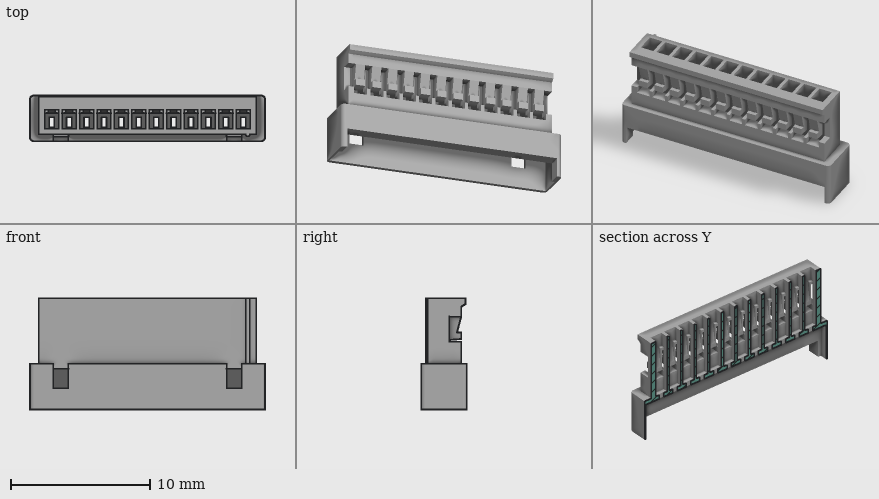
import cadquery as cq
SHROUD_LENGTH = 16.9
SHROUD_DEPTH = 3.3
SHROUD_HEIGHT = 3.3
SHROUD_CORNER_RADIUS = 0.3
END_WALL = 0.15
FRONT_WALL = 0.35
INTERIOR_BACK_Y = 0.59
CEILING_Z = 2.92
REAR_OPENING_SHOULDER = 0.24
REAR_OPENING_HEIGHT = 1.4
SHROUD_FRONT_Y = -SHROUD_DEPTH / 2
SHROUD_BACK_Y = SHROUD_DEPTH / 2

NOTCH_OFFSET = 6.22
NOTCH_WIDTH = 1.07
NOTCH_BOTTOM_Z = 1.53

TOP_Z = 8.0
HOUSING_LENGTH = 15.65
HOUSING_FRONT_Y = -1.15
HOUSING_BACK_Y = 1.24
LIP_BACK_Y = 1.55
LIP_BEVEL_TOP_Z = 7.58
LIP_BEVEL_BOTTOM_Z = 7.38

RIB_X = 7.2
RIB_RADIUS = 0.15

CONTACT_COUNT = 12
PITCH = 1.25
CAVITY_WIDTH = 1.0
CAVITY_FRONT_Y = -0.75
CAVITY_BACK_Y = 0.63
CAVITY_FLOOR_Z = SHROUD_HEIGHT
CAVITY_STEP_Z = 6.9
PIN_HOLE_WIDTH = 0.35
PIN_HOLE_FRONT_Y = -0.65
PIN_HOLE_BACK_Y = 0.07

WINDOW_FRONT_Y = 0.38
WINDOW_BOTTOM_Z = 4.88
WINDOW_TOP_Z = 6.67
RELIEF_BOTTOM_Z = 4.4
LANCE_WIDTH = 0.7
LANCE_NECK_Y = 0.94
LANCE_LEDGE_Z = 5.54
LANCE_HEEL_Z = 5.06
LANCE_TIP_Z = 4.99
GROOVE_WIDTH = 0.48
GROOVE_BOTTOM_Z = 5.3

CONTACT_XS = [(i - (CONTACT_COUNT - 1) / 2) * PITCH for i in range(CONTACT_COUNT)]


def box_between(center_x, width, y_range, z_range):
    """Box centred on center_x that spans the given Y and Z ranges."""
    y_min, y_max = y_range
    z_min, z_max = z_range
    box = cq.Workplane("XY").box(width, y_max - y_min, z_max - z_min, centered=(True, False, False))
    return box.translate((center_x, y_min, z_min))


def extrude_profile(points, center_x, width):
    """Closed (y, z) outline extruded along X, centred on center_x."""
    profile = cq.Workplane("YZ").polyline(points).close()
    return profile.extrude(width / 2, both=True).translate((center_x, 0, 0))


def make_shroud():
    block = box_between(0, SHROUD_LENGTH, (SHROUD_FRONT_Y, SHROUD_BACK_Y), (0, SHROUD_HEIGHT))
    block = block.edges("|Z").fillet(SHROUD_CORNER_RADIUS)
    interior_length = SHROUD_LENGTH - 2 * END_WALL
    interior_y = (SHROUD_FRONT_Y + FRONT_WALL, INTERIOR_BACK_Y)
    block = block.cut(box_between(0, interior_length, interior_y, (0, CEILING_Z)))
    opening_length = interior_length - 2 * REAR_OPENING_SHOULDER
    opening_y = (INTERIOR_BACK_Y, SHROUD_BACK_Y)
    block = block.cut(box_between(0, opening_length, opening_y, (0, REAR_OPENING_HEIGHT)))
    notch_y = (SHROUD_FRONT_Y, HOUSING_FRONT_Y)
    for side in (-1, 1):
        notch = box_between(side * NOTCH_OFFSET, NOTCH_WIDTH, notch_y, (NOTCH_BOTTOM_Z, SHROUD_HEIGHT))
        block = block.cut(notch)
    return block


def make_housing():
    outline = [
        (HOUSING_FRONT_Y, CEILING_Z),
        (HOUSING_FRONT_Y, TOP_Z),
        (LIP_BACK_Y, TOP_Z),
        (LIP_BACK_Y, LIP_BEVEL_TOP_Z),
        (HOUSING_BACK_Y, LIP_BEVEL_BOTTOM_Z),
        (HOUSING_BACK_Y, CEILING_Z),
    ]
    return extrude_profile(outline, 0, HOUSING_LENGTH)


def make_rib():
    rib = cq.Workplane("XY").circle(RIB_RADIUS).extrude(TOP_Z - SHROUD_HEIGHT)
    return rib.translate((RIB_X, HOUSING_FRONT_Y, SHROUD_HEIGHT))


def make_back_window():
    return box_between(0, HOUSING_LENGTH, (WINDOW_FRONT_Y, HOUSING_BACK_Y), (WINDOW_BOTTOM_Z, WINDOW_TOP_Z))


def make_contact_cut(x):
    """Stepped cavity for one contact, with its pin hole and the relief behind it."""
    lower = box_between(x, CAVITY_WIDTH, (CAVITY_FRONT_Y, WINDOW_FRONT_Y), (CAVITY_FLOOR_Z, TOP_Z))
    upper = box_between(x, CAVITY_WIDTH, (CAVITY_FRONT_Y, CAVITY_BACK_Y), (CAVITY_STEP_Z, TOP_Z))
    relief_y = (WINDOW_FRONT_Y, HOUSING_BACK_Y)
    relief = box_between(x, CAVITY_WIDTH, relief_y, (RELIEF_BOTTOM_Z, WINDOW_BOTTOM_Z))
    pin_hole = box_between(x, PIN_HOLE_WIDTH, (PIN_HOLE_FRONT_Y, PIN_HOLE_BACK_Y), (CEILING_Z, TOP_Z))
    return lower.union(upper).union(relief).union(pin_hole)


def make_lance(x):
    """Locking lance hanging from the top of the window, notched on its back face."""
    outline = [
        (WINDOW_FRONT_Y, WINDOW_TOP_Z),
        (HOUSING_BACK_Y, WINDOW_TOP_Z),
        (LANCE_NECK_Y, LANCE_LEDGE_Z),
        (HOUSING_BACK_Y, LANCE_LEDGE_Z),
        (HOUSING_BACK_Y, LANCE_HEEL_Z),
        (WINDOW_FRONT_Y, LANCE_TIP_Z),
    ]
    return extrude_profile(outline, x, LANCE_WIDTH)


def make_lead_in_groove(x):
    """Groove that slopes from the back of the cavity step down the front of the lance."""
    outline = [
        (WINDOW_FRONT_Y, CAVITY_STEP_Z),
        (CAVITY_BACK_Y, CAVITY_STEP_Z),
        (WINDOW_FRONT_Y, GROOVE_BOTTOM_Z),
    ]
    return extrude_profile(outline, x, GROOVE_WIDTH)


result = make_shroud().union(make_housing()).union(make_rib())
result = result.cut(make_back_window())
for contact_x in CONTACT_XS:
    result = result.cut(make_contact_cut(contact_x))
    result = result.union(make_lance(contact_x))
    result = result.cut(make_lead_in_groove(contact_x))